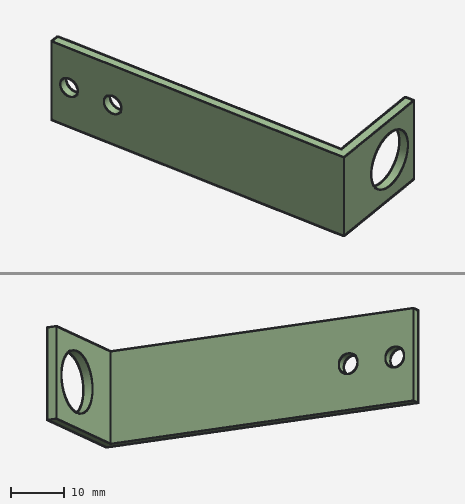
import cadquery as cq

length = 67.0
depth = 23.0
height = 18.0
thickness = 2.0

mount_hole_diameter = 4.0
first_mount_hole_from_end = 4.0
mount_hole_spacing = 10.0
mount_hole_count = 2

large_hole_diameter = 12.0
large_hole_from_tip = 8.0

mid_height = height / 2


def make_bracket():
    """L-shaped profile with a sharp corner, extruded upward."""
    profile = [
        (0, 0),
        (length, 0),
        (length, depth),
        (length - thickness, depth),
        (length - thickness, thickness),
        (0, thickness),
    ]
    return cq.Workplane("XY").polyline(profile).close().extrude(height)


def make_mount_hole(x):
    """Cylinder along Y that passes through the long leg."""
    start = cq.Vector(x, 0, mid_height)
    return cq.Solid.makeCylinder(mount_hole_diameter / 2, thickness, start, cq.Vector(0, 1, 0))


def make_large_hole():
    """Cylinder along X that passes through the short leg."""
    start = cq.Vector(length - thickness, depth - large_hole_from_tip, mid_height)
    return cq.Solid.makeCylinder(large_hole_diameter / 2, thickness, start, cq.Vector(1, 0, 0))


result = make_bracket()
for index in range(mount_hole_count):
    result = result.cut(make_mount_hole(first_mount_hole_from_end + index * mount_hole_spacing))
result = result.cut(make_large_hole())